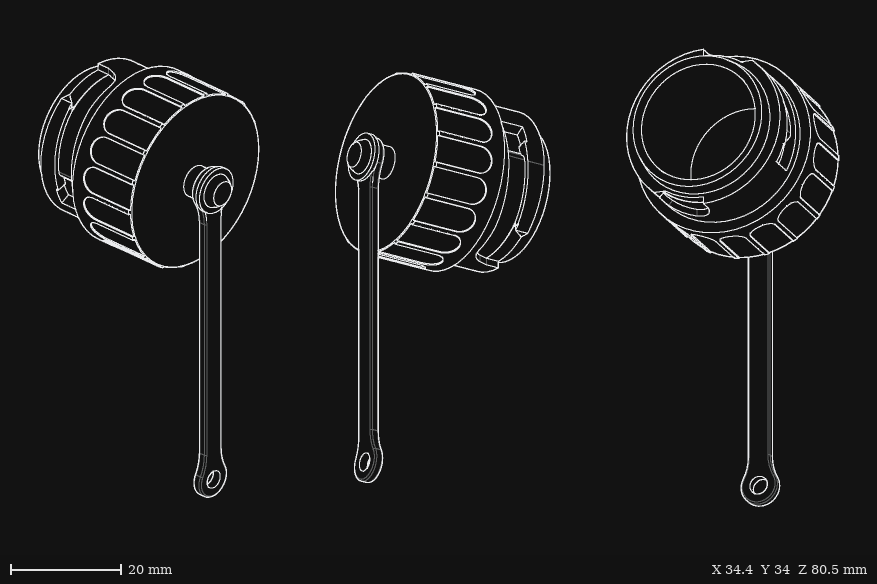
import cadquery as cq
import math

mouth_radius = 12.55
spigot_radius = 26.0 / 2
spigot_length = 2.9
collar_radius = 15.0
collar_end = 12.9
cap_radius = 17.0
cap_end = 27.45
cap_edge = 0.4

bore_radius = 11.1
bore_depth = 24.95
mouth_chamfer = 0.5

flute_count = 18
flute_start = 15.45
flute_width = 5.0
flute_depth = 0.25

track_count = 2
entry_floor_radius = 13.7
track_front = 5.55
track_width = 4.2
entry_bottom = 11.5
lead_point = (7.3, -0.6)
lead_arc_middle = (9.0, -1.85)
lead_arc_end_y = -3.95
helix_start_angle = 39.0
track_end_angle = 120.0
track_overrun = 5.0
helix_pitch = 6.4
crest_radius = 14.0
crest_drop = 0.6
detent_radius = 13.4
detent_drop = 1.7
pocket_radius = 13.0
pocket_drop = 2.2
pocket_front = 6.3
pocket_start_angle = 106.0

pin_radius = 6.0 / 2
strap_start = 30.35
strap_thickness = 1.8
washer_start = 31.9
washer_radius = 8.8 / 2
washer_thickness = 0.9
head_base_radius = 3.2
head_middle_radius = 2.9
head_tip_radius = 2.3
total_length = 34.4
strap_width = 4.3
strap_edge_round = 0.3
upper_eye_radius = 3.95
lower_eye_radius = 3.55
strap_bottom = -63.5
neck_radius = 8.8
eye_hole_radius = 1.7

track_back = track_front + track_width
strap_end = strap_start + strap_thickness
washer_end = washer_start + washer_thickness
outside = cap_radius + 0.8


def polar(radius, angle):
    """(Y, Z) point at an angle in degrees from +Z towards -Y."""
    turn = math.radians(angle)
    return (-radius * math.sin(turn), radius * math.cos(turn))


def drop_point(radius, drop):
    """(Y, Z) point on the -Y side, at a radius and a distance below the axis."""
    return (-math.sqrt(radius**2 - drop**2), -drop)


def cylinder(start, end, radius):
    return cq.Workplane("YZ", origin=(start, 0, 0)).circle(radius).extrude(end - start)


def make_body():
    profile = (
        cq.Workplane("XY")
        .moveTo(0, 0)
        .lineTo(0, mouth_radius)
        .lineTo(spigot_length, spigot_radius)
        .lineTo(spigot_length, collar_radius)
        .lineTo(collar_end, collar_radius)
        .lineTo(collar_end, cap_radius)
        .lineTo(cap_end - cap_edge, cap_radius)
        .lineTo(cap_end, cap_radius - cap_edge)
        .lineTo(cap_end, 0)
        .close()
    )
    bore = (
        cq.Workplane("XY")
        .moveTo(0, 0)
        .lineTo(0, mouth_radius)
        .lineTo(mouth_chamfer, bore_radius)
        .lineTo(bore_depth, bore_radius)
        .lineTo(bore_depth, 0)
        .close()
    )
    axis = ((0, 0, 0), (1, 0, 0))
    return profile.revolve(360, *axis).cut(bore.revolve(360, *axis))


def make_flute():
    half_width = flute_width / 2
    straight_start = flute_start + half_width
    outline = (
        cq.Workplane("XY")
        .moveTo(cap_end, half_width)
        .lineTo(straight_start, half_width)
        .threePointArc((flute_start, 0), (straight_start, -half_width))
        .lineTo(cap_end, -half_width)
        .close()
    )
    return outline.extrude(outside).cut(cylinder(0, cap_end, cap_radius - flute_depth))


def make_entry():
    """Opening in the collar's front face, undercut by a slanted lead-in towards the track."""
    opening = (
        cq.Workplane("XY", origin=(0, 0, entry_bottom))
        .moveTo(spigot_length, 0)
        .lineTo(track_front, 0)
        .lineTo(track_front, -outside)
        .lineTo(spigot_length, -outside)
        .close()
        .extrude(outside - entry_bottom)
    )
    floor_edge_y = -math.sqrt(entry_floor_radius**2 - entry_bottom**2)
    outer_edge_y = -math.sqrt(collar_radius**2 - entry_bottom**2)
    lead_in_bottom = math.sqrt(entry_floor_radius**2 - outer_edge_y**2)
    lead_in = (
        cq.Workplane("XY", origin=(0, 0, lead_in_bottom))
        .moveTo(spigot_length, floor_edge_y)
        .lineTo(track_front, floor_edge_y)
        .lineTo(track_front, outer_edge_y)
        .close()
        .extrude(outside - lead_in_bottom)
    )
    return opening.union(lead_in).cut(cylinder(0, track_front, entry_floor_radius))


def make_turn():
    """Straight start of the track, with a rounded corner, down to the helical run."""
    turn_bottom = entry_floor_radius * math.cos(math.radians(helix_start_angle))
    return (
        cq.Workplane("XY", origin=(0, 0, turn_bottom))
        .moveTo(track_front, 0)
        .lineTo(*lead_point)
        .threePointArc(lead_arc_middle, (track_back, lead_arc_end_y))
        .lineTo(track_back, -outside)
        .lineTo(track_front, -outside)
        .close()
        .extrude(outside - turn_bottom)
    )


def make_helical_run():
    """Band that winds about Z, then is laid along X with its start at +Z."""
    sweep_angle = track_end_angle + track_overrun - helix_start_angle
    inner_radius = bore_radius
    path = cq.Wire.makeHelix(helix_pitch, helix_pitch * sweep_angle / 360, inner_radius)
    band = (
        cq.Workplane("XZ")
        .moveTo(inner_radius, 0)
        .rect(outside - inner_radius, track_width, centered=False)
        .sweep(cq.Workplane(path), isFrenet=True)
    )
    return (
        band.rotate((0, 0, 0), (1, 0, 1), 180)
        .rotate((0, 0, 0), (1, 0, 0), helix_start_angle)
        .translate((track_front, 0, 0))
    )


def make_pocket():
    """Wider sector that holds the pin at the end of the track."""
    past_end = track_end_angle + track_overrun
    return (
        cq.Workplane("YZ", origin=(pocket_front, 0, 0))
        .polyline([(0, 0), polar(outside, pocket_start_angle), polar(outside, past_end)])
        .close()
        .extrude(track_width)
    )


def make_track_floor():
    """Core left under the track: a rise to a crest, a drop to the pocket and a radial end wall."""
    pocket_middle = (pocket_start_angle + track_end_angle) / 2
    rise_middle = (90 + math.degrees(math.asin(crest_drop / crest_radius))) / 2
    return (
        cq.Workplane("YZ")
        .moveTo(outside, 0)
        .lineTo(outside, entry_floor_radius)
        .lineTo(0, entry_floor_radius)
        .threePointArc(
            polar((entry_floor_radius + crest_radius) / 2, rise_middle),
            drop_point(crest_radius, crest_drop),
        )
        .tangentArcPoint(drop_point(detent_radius, detent_drop), relative=False)
        .lineTo(*drop_point(pocket_radius, pocket_drop))
        .threePointArc(polar(pocket_radius, pocket_middle), polar(pocket_radius, track_end_angle))
        .lineTo(*polar(outside, track_end_angle))
        .lineTo(0, -outside)
        .close()
        .extrude(collar_end)
    )


def make_track():
    run = make_turn().union(make_helical_run()).union(make_pocket())
    return run.cut(make_track_floor()).union(make_entry())


def make_pin():
    head = (
        cq.Workplane("XY")
        .moveTo(washer_end, 0)
        .lineTo(washer_end, head_base_radius)
        .threePointArc(
            ((washer_end + total_length) / 2, head_middle_radius),
            (total_length, head_tip_radius),
        )
        .lineTo(total_length, 0)
        .close()
        .revolve(360, (0, 0, 0), (1, 0, 0))
    )
    shank = cylinder(bore_depth, washer_end, pin_radius)
    washer = cylinder(washer_start, washer_end, washer_radius)
    return shank.union(washer).union(head)


def make_strap():
    half_width = strap_width / 2
    lower_center = strap_bottom + lower_eye_radius
    neck_center_y = half_width + neck_radius

    def neck_height(eye_radius):
        """Distance along Z from the eye centre to where the neck meets the band."""
        return math.sqrt((eye_radius + neck_radius) ** 2 - neck_center_y**2)

    def eye_joint(eye_radius):
        """Tangent point of eye and neck, relative to the eye centre."""
        share = eye_radius / (eye_radius + neck_radius)
        return (neck_center_y * share, neck_height(eye_radius) * share)

    def neck_middle(eye_radius):
        """Middle of the neck arc, relative to the eye centre."""
        half_turn = math.asin(neck_height(eye_radius) / (eye_radius + neck_radius)) / 2
        return (
            neck_center_y - neck_radius * math.cos(half_turn),
            neck_height(eye_radius) - neck_radius * math.sin(half_turn),
        )

    upper_y, upper_z = eye_joint(upper_eye_radius)
    upper_mid_y, upper_mid_z = neck_middle(upper_eye_radius)
    upper_neck_z = -neck_height(upper_eye_radius)
    lower_y, lower_z = eye_joint(lower_eye_radius)
    lower_mid_y, lower_mid_z = neck_middle(lower_eye_radius)
    lower_neck_z = lower_center + neck_height(lower_eye_radius)

    outline = (
        cq.Workplane("YZ", origin=(strap_start, 0, 0))
        .moveTo(upper_y, -upper_z)
        .threePointArc((0, upper_eye_radius), (-upper_y, -upper_z))
        .threePointArc((-upper_mid_y, -upper_mid_z), (-half_width, upper_neck_z))
        .lineTo(-half_width, lower_neck_z)
        .threePointArc((-lower_mid_y, lower_center + lower_mid_z), (-lower_y, lower_center + lower_z))
        .threePointArc((0, strap_bottom), (lower_y, lower_center + lower_z))
        .threePointArc((lower_mid_y, lower_center + lower_mid_z), (half_width, lower_neck_z))
        .lineTo(half_width, upper_neck_z)
        .threePointArc((upper_mid_y, -upper_mid_z), (upper_y, -upper_z))
        .close()
    )
    strap = outline.extrude(strap_thickness).faces("<X or >X").edges().fillet(strap_edge_round)
    eye_hole = cylinder(strap_start, strap_end, eye_hole_radius).translate((0, 0, lower_center))
    return strap.cut(eye_hole)


def cut_around(solid, cutter, count):
    """Cut equally spaced copies of the cutter, turned about the X axis."""
    for index in range(count):
        solid = solid.cut(cutter.rotate((0, 0, 0), (1, 0, 0), index * 360 / count))
    return solid


body = make_body()
body = cut_around(body, make_flute(), flute_count)
body = cut_around(body, make_track(), track_count)
result = body.union(make_pin()).union(make_strap())